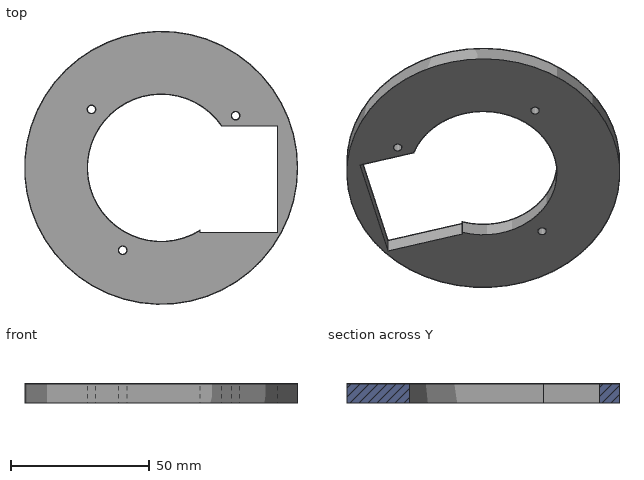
import cadquery as cq

plate_diameter = 98.8
plate_thickness = 7.0
bore_diameter = 53.3

window_left = 14.1
window_right = 42.1
window_bottom = -23.3
window_top = 15.1

hole_diameter = 3
hole_circle_radius = 32.9
first_hole_angle = 35
hole_angle_step = 105
hole_count = 3


def make_plate():
    return cq.Workplane("XY").circle(plate_diameter / 2).extrude(plate_thickness)


def make_bore():
    return cq.Workplane("XY").circle(bore_diameter / 2).extrude(plate_thickness)


def make_window():
    width = window_right - window_left
    height = window_top - window_bottom
    return cq.Workplane("XY").box(width, height, plate_thickness, centered=False).translate(
        (window_left, window_bottom, 0)
    )


def make_screw_holes():
    total_angle = hole_angle_step * (hole_count - 1)
    return (
        cq.Workplane("XY")
        .polarArray(hole_circle_radius, first_hole_angle, total_angle, hole_count)
        .circle(hole_diameter / 2)
        .extrude(plate_thickness)
    )


result = make_plate().cut(make_bore()).cut(make_window()).cut(make_screw_holes())